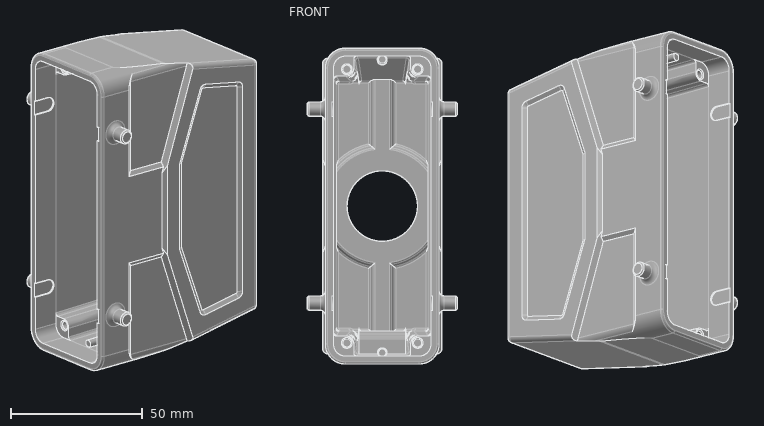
import cadquery as cq
import math

DEPTH = 76.0
HEIGHT = 120.0
PIN_SPAN = 57.0

SKIRT_WIDTH = 43.2
SKIRT_CORNER = 7.5
SKIRT_LENGTH = 48.0
HEAD_WIDTH = 45.4
HEAD_EDGE = 1.9
MOUTH_EDGE = 0.8
ROOF_FLAT_END = 11.2
ROOF_BEND_Y = 32.3
ROOF_BEND_Z = 58.1
ROOF_BEND_HALF = 0.42
ROOF_BACK_Z = 50.3
ROOF_FRONT_SLOPE = (HEIGHT / 2 - ROOF_BEND_Z) / (ROOF_BEND_Y - ROOF_FLAT_END)
ROOF_SLOPE = (ROOF_BEND_Z - ROOF_BACK_Z) / (DEPTH - ROOF_BEND_Y)

HEAD_FRONT = 31.1
HEAD_STRAIGHT = 18.0
HEAD_STEP_RUN = 1.8
SLANT_SLOPE = 2.9
SLANT_RUN = 1.7

RELIEF_WIDTH = 41.0
RELIEF_FRONT = 14.8
RELIEF_INNER_Z = 19.2
RELIEF_WALL_RUN = 1.74
RELIEF_EDGE = 3.6

PANEL_DEPTH = 1.1
PANEL_RUN = 1.74
PANEL_CORNER = 2.4
PANEL_BACK = 68.0
PANEL_FRONT = 37.1
PANEL_STRAIGHT = 17.3
PANEL_PEAK_Y = 47.9
PANEL_PEAK_Z = 46.9

MOUTH_WIDTH = 37.0
MOUTH_HEIGHT = 113.9
MOUTH_CORNER = 4.5
CAVITY_DRAFT = 1.1
FLOOR_Y = 69.6
CAVITY_BEND_Y = 31.2
CAVITY_BEND_Z = 56.2
CAVITY_FLOOR_Z = 47.4

HOLE_RADIUS = 13.3
RING_RADIUS = 22.2
RIB_HALF = 3.2
POCKET_DEPTH = 3.1
POCKET_BOTTOM = FLOOR_Y + POCKET_DEPTH
POCKET_WALL_DRAFT = 25.0
POCKET_EDGE = 0.8

BOSS_FRONT = 10.1
BOSS_X = 10.8
BOSS_Z = 49.3
BOSS_CORNER = 3.0
BOSS_DRAFT = 1.8
BOSS_GROWTH = (POCKET_BOTTOM - BOSS_FRONT) * math.tan(math.radians(BOSS_DRAFT))
BOSS_ROOT = 1.1
SCREW_X = 13.5
SCREW_Z = 52.0
SCREW_RADIUS = 1.5
SCREW_DEPTH = 14.4
SCREW_CHAMFER = 0.5

ROD_FRONT = 10.8
ROD_END = 45.6
ROD_Z = 55.7
ROD_RADIUS = 1.5
ROD_DRAFT = 1.2

BLOCK_WIDTH = 17.5
BLOCK_FRONT_Z = 48.7
BLOCK_EDGE = 1.8

PIN_RADIUS = 2.8
PIN_Y = 6.4
PIN_Z = 36.8
PIN_ROOT = 1.9
PIN_TIP = 0.6
GROOVE_DEPTH = 0.6


def mouth_plane(y):
    """Plane facing +Y at the given depth, with local x = -X and local y = Z."""
    return cq.Workplane(cq.Plane(origin=(0, y, 0), xDir=(-1, 0, 0), normal=(0, 1, 0)))


def side_plane(x):
    """Plane facing +X at the given distance, with local x = Y and local y = Z."""
    return cq.Workplane("YZ", origin=(x, 0, 0))


def mirrored(half):
    """The (y, z) points of an upper half outline followed by their mirror images below."""
    return half + [(y, -z) for y, z in reversed(half)]


def slab(points, width):
    """Prism of a (y, z) outline, centred on X."""
    return side_plane(-width / 2).polyline(points).close().extrude(width)


def frustum(outer, inner, x_outer, x_inner):
    """Solid between two (y, z) outlines lying at two X positions."""
    return (
        side_plane(x_inner).polyline(inner).close()
        .workplane(offset=x_outer - x_inner).polyline(outer).close()
        .loft(ruled=True)
    )


def on_both_sides(solid):
    return solid.union(solid.mirror("YZ"))


def on_both_ends(solid):
    return solid.union(solid.mirror("XY"))


def on_all_corners(solid):
    return on_both_ends(on_both_sides(solid))


roof = mirrored([
    (0, HEIGHT / 2), (ROOF_FLAT_END, HEIGHT / 2),
    (ROOF_BEND_Y - ROOF_BEND_HALF, ROOF_BEND_Z + ROOF_FRONT_SLOPE * ROOF_BEND_HALF),
    (ROOF_BEND_Y + ROOF_BEND_HALF, ROOF_BEND_Z - ROOF_SLOPE * ROOF_BEND_HALF),
    (DEPTH, ROOF_BACK_Z),
])

cavity_profile = mirrored([
    (BOSS_FRONT, MOUTH_HEIGHT / 2), (CAVITY_BEND_Y, CAVITY_BEND_Z), (POCKET_BOTTOM, CAVITY_FLOOR_Z),
])


def make_skirt():
    """Rounded solid block with one relief in each corner of its long sides."""
    skirt = mouth_plane(0).rect(SKIRT_WIDTH, HEIGHT).extrude(SKIRT_LENGTH)
    skirt = skirt.edges("|Y").fillet(SKIRT_CORNER)
    skirt = skirt.faces("<Y").edges().fillet(MOUTH_EDGE)
    skirt = skirt.cut(on_all_corners(make_relief()))
    edge_z = HEIGHT / 2 - SKIRT_CORNER + math.sqrt(
        SKIRT_CORNER ** 2 - (SKIRT_CORNER - (SKIRT_WIDTH - RELIEF_WIDTH) / 2) ** 2)
    for x in (-RELIEF_WIDTH / 2, RELIEF_WIDTH / 2):
        for z in (-edge_z, edge_z):
            nearest = cq.selectors.NearestToPointSelector((x, HEAD_FRONT, z))
            skirt = skirt.edges(nearest).fillet(RELIEF_EDGE)
    return skirt.intersect(slab(roof, SKIRT_WIDTH))


def make_relief():
    """Cutter for the upper relief on the +X side; its front and lower walls slope outward."""
    wall = RELIEF_WALL_RUN * (HEAD_WIDTH - RELIEF_WIDTH) / (SKIRT_WIDTH - RELIEF_WIDTH)
    top = HEIGHT / 2 + 1.2

    def outline(grow):
        front = RELIEF_FRONT - grow
        bottom = RELIEF_INNER_Z - grow
        return [(front, bottom), (DEPTH + 1.2, bottom), (DEPTH + 1.2, top), (front, top)]

    return frustum(outline(wall), outline(0), HEAD_WIDTH / 2, RELIEF_WIDTH / 2)


def make_head():
    """Wide rear block whose sloping front edge is straight in the middle and slanted above and below."""
    start_z = ROOF_BEND_Z + ROOF_SLOPE * ROOF_BEND_Y
    block = slab(mirrored([(0, start_z), (DEPTH, ROOF_BACK_Z)]), HEAD_WIDTH)
    block = block.edges("not <Y").fillet(HEAD_EDGE)

    middle_run = HEAD_STEP_RUN * (HEAD_WIDTH - RELIEF_WIDTH) / (HEAD_WIDTH - SKIRT_WIDTH)
    top = start_z + 1.2

    def outline(middle_shift, slant_shift):
        front = HEAD_FRONT - middle_shift
        straight = HEAD_STRAIGHT - SLANT_SLOPE * (middle_shift - slant_shift)
        slant_top = front + (top - straight) / SLANT_SLOPE
        return mirrored([(front, straight), (slant_top, top), (DEPTH + 1.2, top)])

    limit = frustum(
        outline(0, 0), outline(middle_run, SLANT_RUN), HEAD_WIDTH / 2, RELIEF_WIDTH / 2,
    )
    core = slab(outline(middle_run, SLANT_RUN), RELIEF_WIDTH)
    return block.intersect(on_both_sides(limit).union(core))


def make_panel():
    """Cutter for the panel on the +X side: rounded corners and sloping walls."""
    back_z = PANEL_PEAK_Z - ROOF_SLOPE * (PANEL_BACK - PANEL_PEAK_Y)
    outline = mirrored([
        (PANEL_FRONT, PANEL_STRAIGHT), (PANEL_PEAK_Y, PANEL_PEAK_Z), (PANEL_BACK, back_z),
    ])
    surface = side_plane(HEAD_WIDTH / 2 - PANEL_DEPTH)
    panel = surface.polyline(outline).close().extrude(2 * PANEL_DEPTH)
    corners = panel.edges("|X").edges(cq.selectors.BoxSelector(
        (0, PANEL_PEAK_Y - 1.2, -HEIGHT), (HEAD_WIDTH, DEPTH, HEIGHT)))
    rounded = corners.fillet(PANEL_CORNER)
    bottom = rounded.faces("<X").wires().val()
    floor = bottom.offset2D(-PANEL_RUN)[0]
    rim = bottom.translate(cq.Vector(PANEL_DEPTH, 0, 0))
    return cq.Workplane(cq.Solid.makeLoft([floor, rim], True))


def make_mouth():
    """Straight front part of the cavity."""
    return (
        mouth_plane(0).rect(MOUTH_WIDTH, MOUTH_HEIGHT).extrude(BOSS_FRONT)
        .edges("|Y").fillet(MOUTH_CORNER)
    )


def make_tapered_space():
    """Cavity behind the mouth, narrowing to the bottom of the floor pockets."""
    mouth_half = MOUTH_WIDTH / 2
    floor_half = mouth_half - CAVITY_DRAFT
    plan = [
        (-mouth_half, BOSS_FRONT), (mouth_half, BOSS_FRONT),
        (floor_half, POCKET_BOTTOM), (-floor_half, POCKET_BOTTOM),
    ]
    space = cq.Workplane("XY", origin=(0, 0, -HEIGHT / 2)).polyline(plan).close().extrude(HEIGHT)
    space = space.intersect(slab(cavity_profile, MOUTH_WIDTH))
    space = space.faces(">Y").edges().fillet(POCKET_EDGE)
    space = space.cut(on_all_corners(make_corner_boss()))
    space = space.cut(make_end_roots())
    for x in (-MOUTH_WIDTH / 2, MOUTH_WIDTH / 2):
        for z in (-BOSS_Z, BOSS_Z):
            root = cq.selectors.NearestToPointSelector((x, (BOSS_FRONT + POCKET_BOTTOM) / 2, z))
            space = space.edges(root).fillet(BOSS_ROOT)
    return space


def make_end_roots():
    """Slivers that round the inner corners between the bosses and the end walls."""
    back_x = BOSS_X - BOSS_GROWTH
    plan = [(-BOSS_X, BOSS_FRONT), (BOSS_X, BOSS_FRONT), (back_x, POCKET_BOTTOM), (-back_x, POCKET_BOTTOM)]
    gap = cq.Workplane("XY", origin=(0, 0, -HEIGHT / 2)).polyline(plan).close().extrude(HEIGHT)
    gap = gap.intersect(slab(cavity_profile, MOUTH_WIDTH))
    long_edges = (
        gap.faces("<X").edges("not(<Y or >Y)")
        .add(gap.faces(">X").edges("not(<Y or >Y)"))
    )
    rounded = long_edges.fillet(BOSS_ROOT)
    return gap.cut(rounded)


def make_floor_relief():
    """Oversized space in front of the floor, with four pockets around the ring and the rib."""
    space = mouth_plane(0).rect(SKIRT_WIDTH, HEIGHT).extrude(FLOOR_Y)
    space = space.union(on_all_corners(make_pocket()))
    half_x = SKIRT_WIDTH / 2 - 1.2
    half_z = HEIGHT / 2 - 1.2
    brim = cq.selectors.BoxSelector(
        (-half_x, FLOOR_Y - POCKET_EDGE, -half_z), (half_x, FLOOR_Y + POCKET_EDGE, half_z))
    return space.edges(brim).fillet(POCKET_EDGE)


def make_pocket():
    """Upper right pocket sunk in the floor beside the rib and outside the ring."""
    half_x = SKIRT_WIDTH / 2
    half_z = HEIGHT / 2
    margin = 0.1
    grow = POCKET_DEPTH * math.tan(math.radians(POCKET_WALL_DRAFT))
    bottom = mouth_plane(POCKET_BOTTOM)
    blank = bottom.center(-half_x / 2, half_z / 2).rect(half_x, half_z).extrude(-POCKET_DEPTH)
    rib = bottom.rect(2 * (RIB_HALF + grow), 2 * HEIGHT).workplane(offset=-POCKET_DEPTH)
    rib = rib.rect(2 * RIB_HALF, 2 * HEIGHT).loft(ruled=True)
    ring = cq.Workplane(cq.Solid.makeCone(
        RING_RADIUS + grow, RING_RADIUS, POCKET_DEPTH,
        pnt=cq.Vector(0, POCKET_BOTTOM, 0), dir=cq.Vector(0, -1, 0)))
    pocket = blank.cut(rib).cut(ring)
    foot = cq.selectors.BoxSelector(
        (0, POCKET_BOTTOM - margin, 0), (half_x - margin, POCKET_BOTTOM + margin, half_z - margin))
    return pocket.edges(foot).fillet(POCKET_EDGE)


def make_corner_boss():
    """Upper right screw boss, growing wider toward the floor and running past the cavity corner."""
    length = POCKET_BOTTOM - BOSS_FRONT
    width = SKIRT_WIDTH / 2 - BOSS_X
    height = HEIGHT / 2 - BOSS_Z

    def section(extra):
        return (
            cq.Sketch().rect(width + extra, height + extra)
            .vertices(">X and <Y").fillet(BOSS_CORNER)
            .moved(cq.Location(cq.Vector(-BOSS_X + (extra - width) / 2, BOSS_Z + (height - extra) / 2, 0)))
        )

    return mouth_plane(BOSS_FRONT).placeSketch(
        section(0), section(BOSS_GROWTH).moved(cq.Location(cq.Vector(0, 0, length)))).loft()


def make_screw_hole():
    """Blind hole of the upper right boss, chamfered at its mouth."""
    return (
        mouth_plane(BOSS_FRONT).center(-SCREW_X, SCREW_Z).circle(SCREW_RADIUS).extrude(SCREW_DEPTH)
        .union(cq.Workplane(cq.Solid.makeCone(
            SCREW_RADIUS + SCREW_CHAMFER, SCREW_RADIUS, SCREW_CHAMFER,
            pnt=cq.Vector(SCREW_X, BOSS_FRONT, SCREW_Z), dir=cq.Vector(0, 1, 0))))
    )


def make_rod():
    """Slightly tapered rod along the middle of the upper end wall."""
    length = ROD_END - ROD_FRONT
    grow = length * math.tan(math.radians(ROD_DRAFT))
    return cq.Workplane(cq.Solid.makeCone(
        ROD_RADIUS, ROD_RADIUS + grow, length, pnt=cq.Vector(0, ROD_FRONT, ROD_Z), dir=cq.Vector(0, 1, 0)))


def make_block():
    """Block standing on the lower end wall between the two corner bosses, its front edge rounded."""
    block = slab([
        (CAVITY_BEND_Y, -HEIGHT / 2), (CAVITY_BEND_Y, -BLOCK_FRONT_Z),
        (POCKET_BOTTOM, -CAVITY_FLOOR_Z), (POCKET_BOTTOM, -HEIGHT / 2),
    ], BLOCK_WIDTH)
    front_edge = cq.selectors.NearestToPointSelector((0, CAVITY_BEND_Y, -BLOCK_FRONT_Z))
    return block.edges(front_edge).fillet(BLOCK_EDGE)


def make_pin():
    """Pin on the +X side, upper position, with a flared root and a chamfered tip."""
    root_x = SKIRT_WIDTH / 2
    tip_x = PIN_SPAN / 2
    start_x = root_x - GROOVE_DEPTH
    diagonal = PIN_ROOT * (1 - math.sqrt(0.5))
    profile = (
        cq.Workplane("XY").moveTo(start_x, 0).lineTo(start_x, PIN_RADIUS + PIN_ROOT)
        .lineTo(root_x, PIN_RADIUS + PIN_ROOT)
        .threePointArc((root_x + diagonal, PIN_RADIUS + diagonal), (root_x + PIN_ROOT, PIN_RADIUS))
        .lineTo(tip_x - PIN_TIP, PIN_RADIUS).lineTo(tip_x, PIN_RADIUS - PIN_TIP).lineTo(tip_x, 0).close()
    )
    return profile.revolve(360, (0, 0, 0), (1, 0, 0)).translate((0, PIN_Y, PIN_Z))


def make_groove():
    """Round-ended groove in the inner wall behind one pin, open toward the mouth."""
    wall = side_plane(MOUTH_WIDTH / 2 - GROOVE_DEPTH).center(0, PIN_Z)
    slot = wall.center(PIN_Y, 0).circle(PIN_RADIUS).extrude(2 * GROOVE_DEPTH)
    return slot.union(
        side_plane(MOUTH_WIDTH / 2 - GROOVE_DEPTH).center(PIN_Y / 2, PIN_Z)
        .rect(PIN_Y, 2 * PIN_RADIUS).extrude(2 * GROOVE_DEPTH))


outside = make_skirt().union(make_head()).cut(on_both_sides(make_panel()))

cavity = make_tapered_space().intersect(make_floor_relief())
cavity = cavity.cut(on_both_ends(make_rod())).cut(make_block())
cavity = cavity.union(make_mouth()).union(on_all_corners(make_groove()))

hole = mouth_plane(0).circle(HOLE_RADIUS).extrude(DEPTH)
result = (
    outside.cut(cavity).cut(hole)
    .cut(on_all_corners(make_screw_hole()))
    .union(on_all_corners(make_pin()))
)